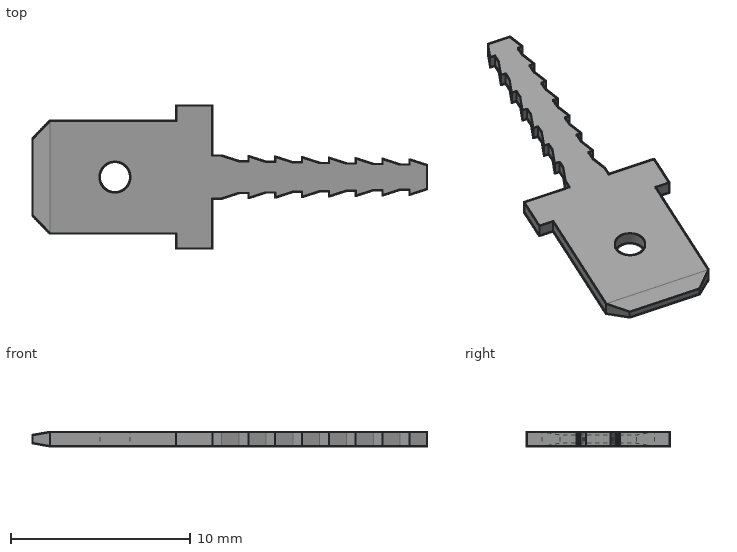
import cadquery as cq

thickness = 0.81
total_length = 22.0

blade_width = 6.3
lead_in_length = 0.97
tip_width = 4.3
tip_thickness = 0.46
hole_diameter = 1.7
hole_x = 4.6

shoulder_start = 8.0
shoulder_width = 7.99

tooth_count = 8
flat_length = 0.5
ramp_length = 1.0
root_half_width = 1.2
ramp_depth = 0.32
taper_per_tooth = 0.03
tooth_pitch = flat_length + ramp_length
stem_start = total_length - tooth_count * tooth_pitch


def mirrored_plate(edge):
    """Plate whose outline is the given +Y edge and its mirror image in -Y."""
    opposite_edge = [(x, -y) for x, y in reversed(edge)]
    return (
        cq.Workplane("XY")
        .polyline(edge + opposite_edge)
        .close()
        .extrude(thickness / 2, both=True)
    )


def stem_edge():
    """Sawtooth +Y edge of the stem, narrowing from tooth to tooth."""
    points = [(stem_start, root_half_width)]
    for tooth in range(tooth_count):
        tooth_start = stem_start + tooth * tooth_pitch
        ramp_start = tooth_start + flat_length
        peak = root_half_width - tooth * taper_per_tooth
        if tooth > 0:
            previous_valley = points[-1][1]
            points.append((ramp_start, previous_valley))
        points.append((ramp_start, peak))
        points.append((tooth_start + tooth_pitch, peak - ramp_depth))
    return points


def lead_in_wedge():
    """Wedge above the +Z slope of the lead-in."""
    return (
        cq.Workplane("XZ")
        .polyline([
            (0, tip_thickness / 2),
            (lead_in_length, thickness / 2),
            (0, thickness / 2),
        ])
        .close()
        .extrude(blade_width / 2, both=True)
    )


plate_edge = [
    (0, tip_width / 2),
    (lead_in_length, blade_width / 2),
    (shoulder_start, blade_width / 2),
    (shoulder_start, shoulder_width / 2),
    (stem_start, shoulder_width / 2),
] + stem_edge()

plate = mirrored_plate(plate_edge)

upper_wedge = lead_in_wedge()
plate = plate.cut(upper_wedge).cut(upper_wedge.mirror("XY"))

hole = (
    cq.Workplane("XY")
    .center(hole_x, 0)
    .circle(hole_diameter / 2)
    .extrude(thickness, both=True)
)
result = plate.cut(hole)